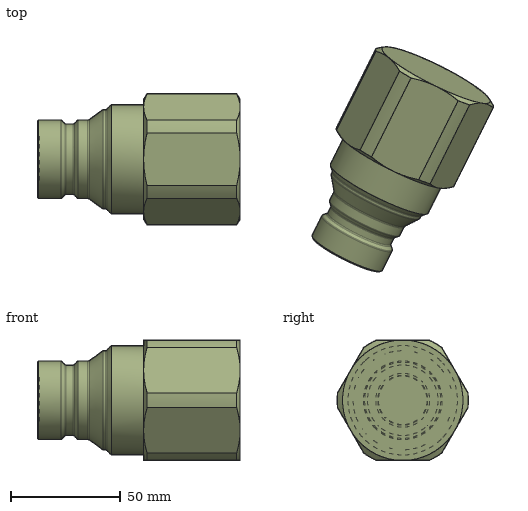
import cadquery as cq
import math

total_length = 92.6
nut_start = 48.5
nut_length = total_length - nut_start

across_flats = 55.0
corner_diameter = 60.0
nut_chamfer_length = 1.6
nut_chamfer_radius = across_flats / 2

nose_radius = 18.0
nose_edge_chamfer = 0.6
groove_radius = 16.1
groove_start = 10.9
groove_end = 18.5
groove_depth = nose_radius - groove_radius
groove_fillet = 0.9
groove_edge_fillet = 0.65

cone_start = 23.4
cone_fillet = 1.3
ring_start = 29.9
ring_end = 31.5
ring_radius = 22.7
body_radius = 25.0
body_start = ring_end + body_radius - ring_radius
ring_fillet = 0.8

seat_radius = 12.3
poppet_radius = 11.4
poppet_edge_chamfer = 0.3
seat_depth = seat_radius - poppet_radius

selection_margin = 0.1


def revolve_about_x(profile):
    """Turn a closed (x, radius) profile about the X axis."""
    return profile.close().revolve(360, (0, 0, 0), (1, 0, 0))


def circle_selector(x, radius):
    """Select the circular edge of the given radius lying at position x."""
    reach = radius + selection_margin
    return cq.selectors.BoxSelector(
        (x - selection_margin, -reach, -reach),
        (x + selection_margin, reach, reach),
        boundingbox=True,
    )


def make_plug():
    """Turned plug; the groove walls and the rear shoulder slope at 45 degrees."""
    plug = revolve_about_x(
        cq.Workplane("XY")
        .moveTo(0, 0)
        .lineTo(0, nose_radius - nose_edge_chamfer)
        .lineTo(nose_edge_chamfer, nose_radius)
        .lineTo(groove_start, nose_radius)
        .lineTo(groove_start + groove_depth, groove_radius)
        .lineTo(groove_end - groove_depth, groove_radius)
        .lineTo(groove_end, nose_radius)
        .lineTo(cone_start, nose_radius)
        .lineTo(ring_start, ring_radius)
        .lineTo(ring_end, ring_radius)
        .lineTo(body_start, body_radius)
        .lineTo(nut_start, body_radius)
        .lineTo(nut_start, 0)
    )
    rounded_corners = (
        (groove_start, nose_radius, groove_edge_fillet),
        (groove_start + groove_depth, groove_radius, groove_fillet),
        (groove_end - groove_depth, groove_radius, groove_fillet),
        (groove_end, nose_radius, groove_edge_fillet),
        (cone_start, nose_radius, cone_fillet),
        (ring_start, ring_radius, ring_fillet),
        (ring_end, ring_radius, ring_fillet),
    )
    for x, radius, fillet in rounded_corners:
        plug = plug.edges(circle_selector(x, radius)).fillet(fillet)
    return plug


def make_nut():
    """Hexagon with flats facing +Z and -Z, its corners turned and chamfered at both ends."""
    hexagon = (
        cq.Workplane("YZ")
        .workplane(offset=nut_start)
        .polygon(6, across_flats / math.cos(math.pi / 6))
        .extrude(nut_length)
    )
    corner_radius = corner_diameter / 2
    turned_envelope = revolve_about_x(
        cq.Workplane("XY")
        .moveTo(nut_start, 0)
        .lineTo(nut_start, nut_chamfer_radius)
        .lineTo(nut_start + nut_chamfer_length, corner_radius)
        .lineTo(total_length - nut_chamfer_length, corner_radius)
        .lineTo(total_length, nut_chamfer_radius)
        .lineTo(total_length, 0)
    )
    return hexagon.intersect(turned_envelope)


def make_seat_gap():
    """Gap between the flush poppet, chamfered at its edge, and its 45 degree conical seat."""
    return revolve_about_x(
        cq.Workplane("XY")
        .moveTo(0, poppet_radius - poppet_edge_chamfer)
        .lineTo(poppet_edge_chamfer, poppet_radius)
        .lineTo(seat_depth, poppet_radius)
        .lineTo(0, seat_radius)
    )


result = make_plug().union(make_nut()).cut(make_seat_gap())